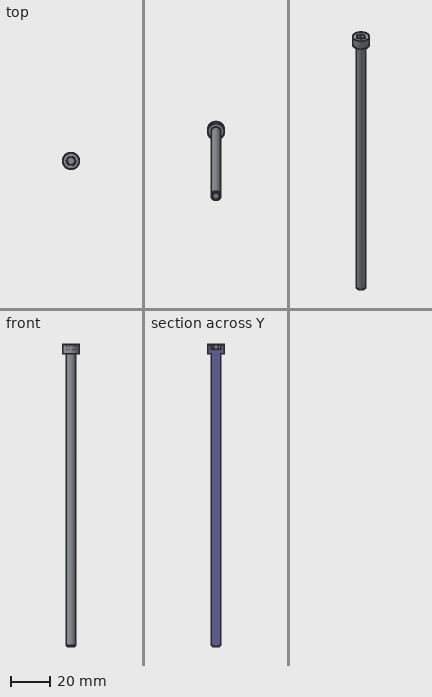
import cadquery as cq
import math

total_length = 155.0
head_diameter = 8.5
head_height = 5.0
shank_diameter = 5.0
tip_chamfer = 0.8

socket_across_flats = 4.0
socket_depth = 2.5

shank_length = total_length - head_height
socket_across_corners = socket_across_flats / math.cos(math.pi / 6)

shank = (
    cq.Workplane("XY", origin=(0, 0, -total_length / 2))
    .circle(shank_diameter / 2)
    .extrude(shank_length)
    .faces("<Z")
    .chamfer(tip_chamfer)
)

head = (
    cq.Workplane("XY", origin=(0, 0, total_length / 2 - head_height))
    .circle(head_diameter / 2)
    .extrude(head_height)
)

socket = (
    cq.Workplane("XY", origin=(0, 0, total_length / 2))
    .polygon(6, socket_across_corners)
    .extrude(-socket_depth)
)

result = shank.union(head).cut(socket)